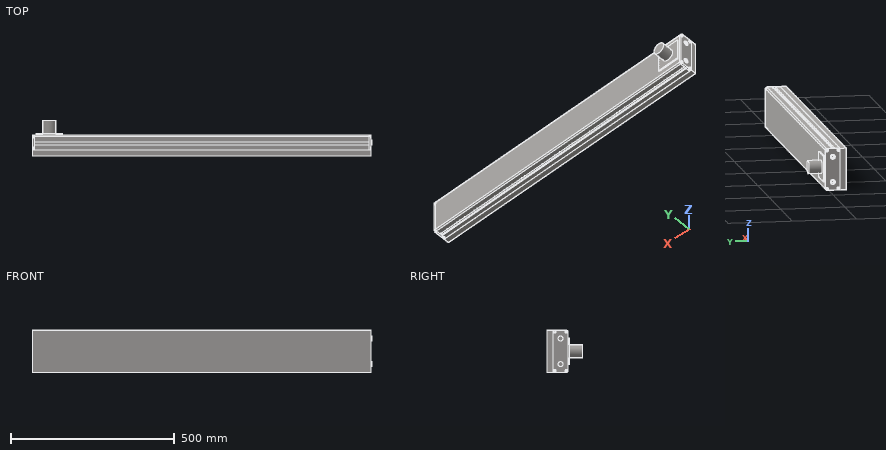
import cadquery as cq

length = 1039.0
height = 130.0
overall_depth = 110.0
foam_thickness = 19.5
housing_back = 65.5
housing_depth = housing_back - foam_thickness
back_chamfer = 4.5

cap_thickness = 6.5
profile_length = length - 2 * cap_thickness
groove_start = 35.0
groove_width = 9.0
groove_depth = 5.0

screw_head_diameter = 9.0
screw_head_depth = 3.0
screw_hole_diameter = 5.0
screw_rows = (24.0, 60.5)
screw_height = height / 2 - 5.0

port_row = 42.0
port_height = 78.5 / 2
port_diameter = 8.0
port_counterbore_diameter = 15.0
port_counterbore_depth = 2.0
plug_diameter = port_counterbore_diameter
plug_height = 3.0

connection_x = 52.0
flange_side = 80.0
flange_thickness = 4.0
stub_diameter = 41.0
stub_length = overall_depth - housing_back - flange_thickness

SIDES = (-1, 1)


def slab(x_start, y_start, size_x, size_y, size_z):
    """Box from a starting X and Y, centred on the middle height."""
    box = cq.Workplane("XY").box(size_x, size_y, size_z, centered=(False, False, True))
    return box.translate((x_start, y_start, 0))


def housing_block(x_start, block_length):
    """Stretch of the housing outline with its two long back edges chamfered."""
    block = slab(x_start, foam_thickness, block_length, housing_depth, height)
    return block.faces(">Y").edges("|X").chamfer(back_chamfer)


def lengthwise_cylinder(x_start, y, z, diameter, reach):
    """Cylinder along X; a negative reach runs toward -X."""
    return cq.Workplane("YZ", origin=(x_start, y, z)).circle(diameter / 2).extrude(reach)


def make_foam():
    return slab(0, 0, length, foam_thickness, height)


def make_profile():
    profile = housing_block(cap_thickness, profile_length)
    groove = slab(cap_thickness, groove_start, profile_length, groove_width, 2 * groove_depth)
    for side in SIDES:
        profile = profile.cut(groove.translate((0, 0, side * height / 2)))
    return profile


def make_cap(x_start, outer_x, inward):
    """End cap with counterbored screw holes; inward is the X direction away from its outer face."""
    cap = housing_block(x_start, cap_thickness)
    for y in screw_rows:
        for side in SIDES:
            z = side * screw_height
            cap = cap.cut(lengthwise_cylinder(outer_x, y, z, screw_head_diameter, inward * screw_head_depth))
            cap = cap.cut(lengthwise_cylinder(outer_x, y, z, screw_hole_diameter, inward * cap_thickness))
    return cap


def make_port_cap():
    cap = make_cap(0, 0, 1)
    for side in SIDES:
        z = side * port_height
        cap = cap.cut(lengthwise_cylinder(0, port_row, z, port_counterbore_diameter, port_counterbore_depth))
        cap = cap.cut(lengthwise_cylinder(0, port_row, z, port_diameter, cap_thickness))
    return cap


def make_plug_cap():
    cap = make_cap(length - cap_thickness, length, -1)
    for side in SIDES:
        cap = cap.union(lengthwise_cylinder(length, port_row, side * port_height, plug_diameter, plug_height))
    return cap


def make_hose_connection():
    flange_start = connection_x - flange_side / 2
    flange = slab(flange_start, housing_back, flange_side, flange_thickness, flange_side)
    stub_plane = cq.Workplane("XZ", origin=(connection_x, housing_back + flange_thickness, 0))
    stub = stub_plane.circle(stub_diameter / 2).extrude(-stub_length)
    return flange.union(stub)


foam = make_foam()
profile = make_profile()
port_cap = make_port_cap()
plug_cap = make_plug_cap()
hose_connection = make_hose_connection()

result = cq.Compound.makeCompound(
    [foam.val(), profile.val(), port_cap.val(), plug_cap.val(), hose_connection.val()]
)